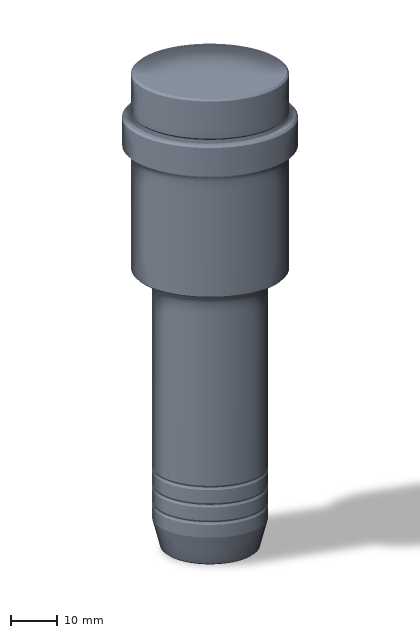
import cadquery as cq
import math

height = 110.0

body_radius = 17.0
collar_radius = 18.98
collar_bottom = 93.0
collar_top = 100.0
edge_chamfer = 0.4

relief_width = 1.0
relief_depth = 0.5
neck_depth = 0.3
body_bottom = 64.0

shank_radius = 12.5
groove_count = 3
groove_span = 8.0
groove_pitch = groove_span / (groove_count - 1)
lowest_groove_bottom = 10.0
groove_width = 1.0
groove_depth = 0.3

taper_height = 7.0
taper_angle = 15.0
foot_chamfer = 0.4


def cylinder(radius, bottom, top):
    """Solid cylinder on the Z axis between two heights."""
    return cq.Workplane("XY").workplane(offset=bottom).circle(radius).extrude(top - bottom)


def ring_groove(radius, depth, bottom, width):
    """Ring that cuts a symmetric V-groove into a cylinder."""
    return (
        cq.Workplane("XZ")
        .moveTo(radius, bottom)
        .lineTo(radius - depth, bottom + width / 2)
        .lineTo(radius, bottom + width)
        .close()
        .revolve(360, (0, 0, 0), (0, 1, 0))
    )


def make_shank():
    foot_radius = shank_radius - taper_height * math.tan(math.radians(taper_angle))
    shank = (
        cq.Workplane("XZ")
        .moveTo(0, 0)
        .lineTo(foot_radius, 0)
        .lineTo(shank_radius, taper_height)
        .lineTo(shank_radius, body_bottom - relief_width)
        .lineTo(shank_radius - neck_depth, body_bottom)
        .lineTo(0, body_bottom)
        .close()
        .revolve(360, (0, 0, 0), (0, 1, 0))
        .faces("<Z")
        .chamfer(foot_chamfer)
    )
    for index in range(groove_count):
        bottom = lowest_groove_bottom + index * groove_pitch
        shank = shank.cut(ring_groove(shank_radius, groove_depth, bottom, groove_width))
    return shank


def make_body():
    body = cylinder(body_radius, body_bottom, height).faces("<Z or >Z").chamfer(edge_chamfer)
    for bottom in (collar_bottom - relief_width, collar_top):
        body = body.cut(ring_groove(body_radius, relief_depth, bottom, relief_width))
    return body


def make_collar():
    return cylinder(collar_radius, collar_bottom, collar_top).faces(">Z").chamfer(edge_chamfer)


result = make_shank().union(make_body()).union(make_collar())